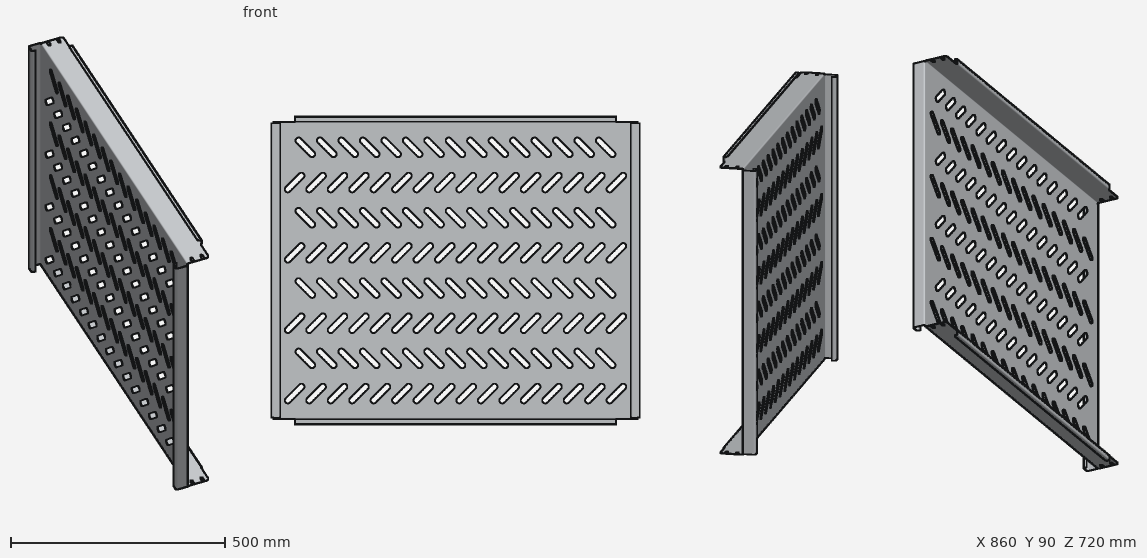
import cadquery as cq

width = 860.0
depth = 90.0
height = 720.0

sheet = 2.0
bend_outer = 3.5
foot_bend_outer = 5.0

foot_width = 21.5
foot_lip = 10.0
foot_drop = 30.0

flange_inset = 5.0
flange_corner = 7.0

hook_height = 13.0
hook_return = 10.0
hook_length = 750.0
hook_corner = 3.5

slot_length = 58.5
slot_width = 14.0
slot_tilt = 45
slot_rows = 8
slots_in_long_row = 16
slot_span_x = 751.0
slot_span_z = 574.5

mount_length = 14.0
mount_width = 6.0
mount_x = 416.0
mount_y = 15.0
mount_spacing = 26.0

front_y = -depth / 2
back_y = depth / 2
plate_front_y = front_y + foot_drop
plate_middle_y = plate_front_y + sheet / 2
bend_middle = bend_outer - sheet / 2
foot_bend_middle = foot_bend_outer - sheet / 2
flange_outer_z = height / 2 - hook_height
flange_middle_z = flange_outer_z - sheet / 2
flange_half_width = width / 2 - flange_inset
flange_end_y = back_y - bend_outer
plate_half_height = flange_outer_z - bend_outer
slot_pitch_x = slot_span_x / (slots_in_long_row - 1)
slot_pitch_z = slot_span_z / (slot_rows - 1)
cut_depth = 2 * sheet


def right_half():
    """Right half of the plate with its foot: web forward, foot inward, short lip back."""
    web_x = width / 2 - sheet / 2
    foot_y = front_y + sheet / 2
    lip_x = width / 2 - foot_width + sheet / 2
    middle_line = (
        cq.Workplane("XY")
        .moveTo(0, plate_middle_y)
        .lineTo(web_x - bend_middle, plate_middle_y)
        .tangentArcPoint((bend_middle, -bend_middle))
        .lineTo(web_x, foot_y + foot_bend_middle)
        .tangentArcPoint((-foot_bend_middle, -foot_bend_middle))
        .lineTo(lip_x + foot_bend_middle, foot_y)
        .tangentArcPoint((-foot_bend_middle, foot_bend_middle))
        .lineTo(lip_x, front_y + foot_lip)
    )
    section = cq.Workplane("YZ", origin=(0, plate_middle_y, 0)).rect(sheet, 2 * plate_half_height)
    return section.sweep(middle_line)


def mounting_slots():
    """Cutters for the two slots at each end of the top flange."""
    return (
        cq.Workplane("XY", origin=(0, mount_y, flange_middle_z - cut_depth / 2))
        .rarray(2 * mount_x, mount_spacing, 2, 2)
        .slot2D(mount_length, mount_width)
        .extrude(cut_depth)
    )


def rear_flange():
    """Top flange, bent back from the plate, with rounded rear corners and mounting slots."""
    start_z = plate_half_height - bend_outer
    middle_line = (
        cq.Workplane("YZ")
        .moveTo(plate_middle_y, start_z)
        .lineTo(plate_middle_y, plate_half_height)
        .tangentArcPoint((bend_middle, bend_middle))
        .lineTo(flange_end_y, flange_middle_z)
    )
    section = cq.Workplane("XY", origin=(0, plate_middle_y, start_z)).rect(2 * flange_half_width, sheet)
    flange = section.sweep(middle_line)
    flange = flange.faces(">Y").edges("|Z").fillet(flange_corner)
    return flange.cut(mounting_slots())


def hooked_lip():
    """Lip behind the top flange: bent upward, then returned to the front."""
    start_y = flange_end_y - bend_outer
    lip_y = back_y - sheet / 2
    return_z = height / 2 - sheet / 2
    return_end_y = back_y - hook_return
    middle_line = (
        cq.Workplane("YZ")
        .moveTo(start_y, flange_middle_z)
        .lineTo(lip_y - bend_middle, flange_middle_z)
        .tangentArcPoint((bend_middle, bend_middle))
        .lineTo(lip_y, return_z - bend_middle)
        .tangentArcPoint((-bend_middle, bend_middle))
        .lineTo(return_end_y, return_z)
    )
    section = cq.Workplane("XZ", origin=(0, start_y, flange_middle_z)).rect(hook_length, sheet)
    lip = section.sweep(middle_line)
    return_corners = cq.selectors.BoxSelector(
        (-width, return_end_y - sheet, return_z - sheet),
        (width, return_end_y + sheet, return_z + sheet),
    )
    return lip.edges("|Z").edges(return_corners).chamfer(hook_corner)


def slot_row(z, count, tilt):
    """Cutters for one row of evenly spaced slots through the plate."""
    return (
        cq.Workplane("XZ", origin=(0, plate_middle_y + cut_depth / 2, z))
        .rarray(slot_pitch_x, 9, count, 1)
        .slot2D(slot_length, slot_width, tilt)
        .extrude(cut_depth)
    )


half = right_half()
top_edge = rear_flange().union(hooked_lip())
result = half.union(half.mirror("YZ")).union(top_edge).union(top_edge.mirror("XY"))

for row in range(slot_rows):
    row_z = row * slot_pitch_z - slot_span_z / 2
    if row % 2 == 0:
        result = result.cut(slot_row(row_z, slots_in_long_row, slot_tilt))
    else:
        result = result.cut(slot_row(row_z, slots_in_long_row - 1, -slot_tilt))